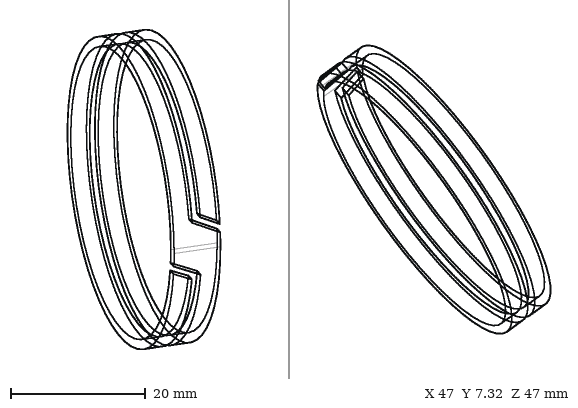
import cadquery as cq
import math

outer_radius = 23.48
wall_thickness = 1.5
total_width = 7.32
groove_width = 1.3

slant_angle = 25.6
bridge_half_height = 4.0
split_height = 1.25

half_width = total_width / 2
half_groove = groove_width / 2


def slanted_prism(y_start, y_end, z_low, z_high):
    """Prism on the +X side; z_low and z_high are its edge heights extended to Y = 0."""
    slope = -math.tan(math.radians(slant_angle))
    return (
        cq.Workplane("YZ")
        .polyline([
            (y_start, z_low + slope * y_start),
            (y_end, z_low + slope * y_end),
            (y_end, z_high + slope * y_end),
            (y_start, z_high + slope * y_start),
        ])
        .close()
        .extrude(outer_radius)
    )


band = (
    cq.Workplane("XZ")
    .circle(outer_radius)
    .circle(outer_radius - wall_thickness)
    .extrude(half_width, both=True)
)

groove = cq.Workplane("XY").box(2 * outer_radius, groove_width, 2 * outer_radius)
bridge = slanted_prism(-half_groove, half_groove, -bridge_half_height, bridge_half_height)
groove = groove.cut(bridge)

split_outer_edge = bridge_half_height + split_height
lower_split = slanted_prism(-half_width, -half_groove, -split_outer_edge, -bridge_half_height)
upper_split = slanted_prism(half_groove, half_width, bridge_half_height, split_outer_edge)

result = band.cut(groove).cut(lower_split).cut(upper_split)